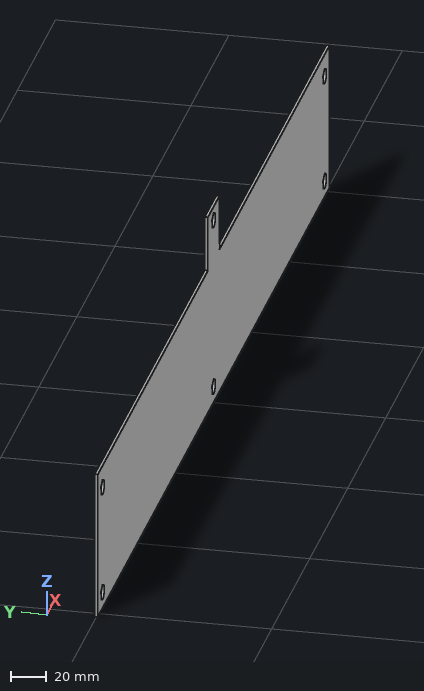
import cadquery as cq

length = 610.0
thickness = 2.0
total_height = 121.0

plate_height = 88.0
tab_width = 30.5
tab_height = total_height - plate_height

hole_diameter = 8.5
end_margin = 13.0
bottom_margin = 10.0
top_margin = 13.5
tab_hole_margin = 8.5

hole_x = length / 2 - end_margin
lower_hole_z = bottom_margin
upper_hole_z = plate_height - top_margin
tab_hole_z = total_height - tab_hole_margin

hole_centers = [(0, lower_hole_z), (0, tab_hole_z)]
for side in (-1, 1):
    for z in (lower_hole_z, upper_hole_z):
        hole_centers.append((side * hole_x, z))


def upright_sheet(width, height, bottom_z):
    """Thin rectangle standing on bottom_z, centred on X and Y."""
    sheet = cq.Workplane("XY").box(width, thickness, height, centered=(True, True, False))
    return sheet.translate((0, 0, bottom_z))


plate = upright_sheet(length, plate_height, 0)
tab = upright_sheet(tab_width, tab_height, plate_height)

holes = (
    cq.Workplane("XZ")
    .pushPoints(hole_centers)
    .circle(hole_diameter / 2)
    .extrude(thickness, both=True)
)

result = plate.union(tab).cut(holes)